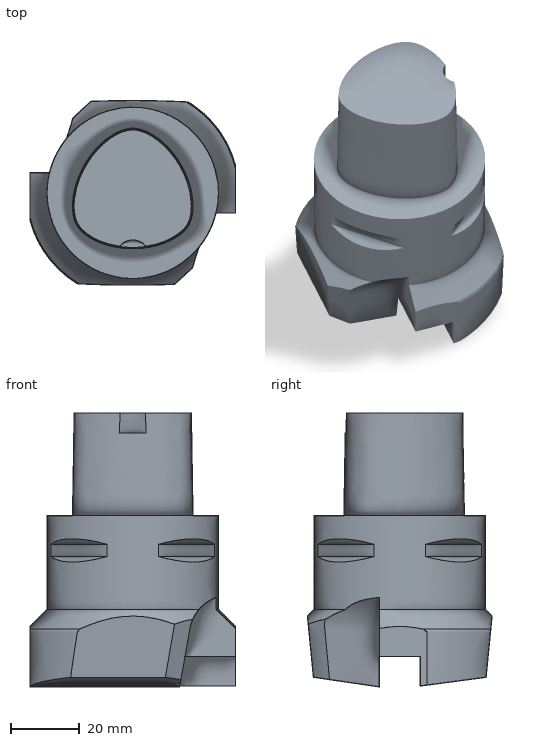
import cadquery as cq
import math

total_height = 80.0
collar_top = 50.0
cone_top = 22.6

collar_radius = 50.0 / 2
head_radius = 31.0
rim_radius = 30.8
rim_drop = 0.8
head_width = 60.0
cone_bottom = cone_top - (rim_radius - collar_radius)

flat_top_distance = 27.0
flat_top_height = 20.7
flat_tilt = 5.6

shank_base_radius = 17.6
shank_top_radius = 17.1
lobe_height = 1.3
outline_points = 36
notch_radius = 4.8
notch_center_y = -18.6
notch_depth = 5.8

groove_height = 39.8
groove_floor_width = 3.5
groove_floor_distance = 22.2
groove_half_angle = 30.0

slot_width = 11.8
slot_height = 8.9
bottom_edge_distance = 25.1
bottom_edge_height = 2.8
rear_bottom_lift = 0.2

pocket_wall_x = 13.7
pocket_wall_tilt = 10.0
pocket_tangent_height = 17.0
pocket_roof_radius = 12.0

chamfer_top_distance = 27.7
chamfer_top_height = 19.2
chamfer_tilt = 10.8

clear = 48.0


def both_sides(cutter):
    """The cutter together with its copy turned half a turn about Z."""
    return cutter.union(cutter.rotate((0, 0, 0), (0, 0, 1), 180))


def side_cutter(distance, height, tilt, direction):
    """Removes everything outside a plane that leans inward toward the bottom."""
    lean = math.tan(math.radians(tilt))
    low = distance - lean * (height + clear)
    high = distance + lean * (clear - height)
    profile = [(low, -clear), (high, clear), (2 * clear, clear), (2 * clear, -clear)]
    cutter = cq.Workplane("XZ").polyline(profile).close().extrude(clear, both=True)
    return cutter.rotate((0, 0, 0), (0, 0, 1), direction)


def make_body():
    outline = [
        (0, 0),
        (head_radius, 0),
        (head_radius, cone_bottom - rim_drop),
        (rim_radius, cone_bottom),
        (collar_radius, cone_top),
        (collar_radius, collar_top),
        (0, collar_top),
    ]
    body = cq.Workplane("XZ").polyline(outline).close().revolve(360, (0, 0), (0, 1))
    width_limit = cq.Workplane("XY").box(head_width, 2 * clear, 2 * total_height)
    return body.intersect(width_limit)


def lobed_point(radius, turn):
    """Point of a rounded three-lobed outline with one lobe toward +Y."""
    angle = 2 * math.pi * turn
    reach = radius - lobe_height * math.sin(3 * angle)
    swing = -3 * lobe_height * math.cos(3 * angle)
    x = reach * math.cos(angle) - swing * math.sin(angle)
    y = reach * math.sin(angle) + swing * math.cos(angle)
    return (x, y)


def make_shank():
    base = [lobed_point(shank_base_radius, i / outline_points) for i in range(outline_points)]
    top = [lobed_point(shank_top_radius, i / outline_points) for i in range(outline_points)]
    shank = (
        cq.Workplane("XY", origin=(0, 0, collar_top))
        .spline(base, periodic=True)
        .wire()
        .workplane(offset=total_height - collar_top)
        .spline(top, periodic=True)
        .wire()
        .loft(ruled=True)
    )
    notch = (
        cq.Workplane("XY")
        .workplane(offset=total_height - notch_depth)
        .center(0, notch_center_y)
        .circle(notch_radius)
        .extrude(2 * notch_depth)
    )
    return shank.cut(notch)


def groove_cutter(direction):
    depth = collar_radius - groove_floor_distance
    floor = groove_floor_width / 2
    mouth = floor + depth * math.tan(math.radians(groove_half_angle))
    profile = [
        (groove_floor_distance, groove_height - floor),
        (collar_radius, groove_height - mouth),
        (collar_radius, groove_height + mouth),
        (groove_floor_distance, groove_height + floor),
    ]
    cutter = cq.Workplane("XZ").polyline(profile).close().extrude(clear, both=True)
    return cutter.rotate((0, 0, 0), (0, 0, 1), direction)


def pocket_cutter():
    """Leaning wall that blends into a round roof, on the +X, -Y side."""
    tilt = math.radians(pocket_wall_tilt)
    tangent_x = pocket_wall_x + pocket_tangent_height * math.tan(tilt)
    center_x = tangent_x + pocket_roof_radius * math.cos(tilt)
    center_z = pocket_tangent_height - pocket_roof_radius * math.sin(tilt)
    mid_angle = math.pi - (math.pi / 2 + tilt) / 2
    mid_x = center_x + pocket_roof_radius * math.cos(mid_angle)
    mid_z = center_z + pocket_roof_radius * math.sin(mid_angle)
    roof_z = center_z + pocket_roof_radius
    return (
        cq.Workplane("XZ", origin=(0, -slot_width / 2, 0))
        .moveTo(pocket_wall_x, 0)
        .lineTo(tangent_x, pocket_tangent_height)
        .threePointArc((mid_x, mid_z), (center_x, roof_z))
        .lineTo(clear, roof_z)
        .lineTo(clear, 0)
        .close()
        .extrude(clear)
    )


def bottom_cutter(side, lift):
    """Slopes the bottom upward from the slot edge toward one Y side."""
    inner = slot_width / 2
    slope = (bottom_edge_height - lift) / (bottom_edge_distance - inner)
    outer_height = lift + slope * (clear - inner)
    profile = [
        (side * inner, -clear),
        (side * inner, lift),
        (side * clear, outer_height),
        (side * clear, -clear),
    ]
    return cq.Workplane("YZ").polyline(profile).close().extrude(clear, both=True)


body = make_body()
for groove_direction in (45, 135, 225, 315):
    body = body.cut(groove_cutter(groove_direction))

flat = side_cutter(flat_top_distance, flat_top_height, flat_tilt, -90)
chamfer = side_cutter(chamfer_top_distance, chamfer_top_height, chamfer_tilt, -45)
for cutter in (flat, chamfer, pocket_cutter()):
    body = body.cut(both_sides(cutter))

slot = cq.Workplane("XY").box(2 * clear, slot_width, 2 * slot_height)
body = body.cut(slot)
body = body.cut(bottom_cutter(-1, 0))
body = body.cut(bottom_cutter(1, rear_bottom_lift))

result = body.union(make_shank())